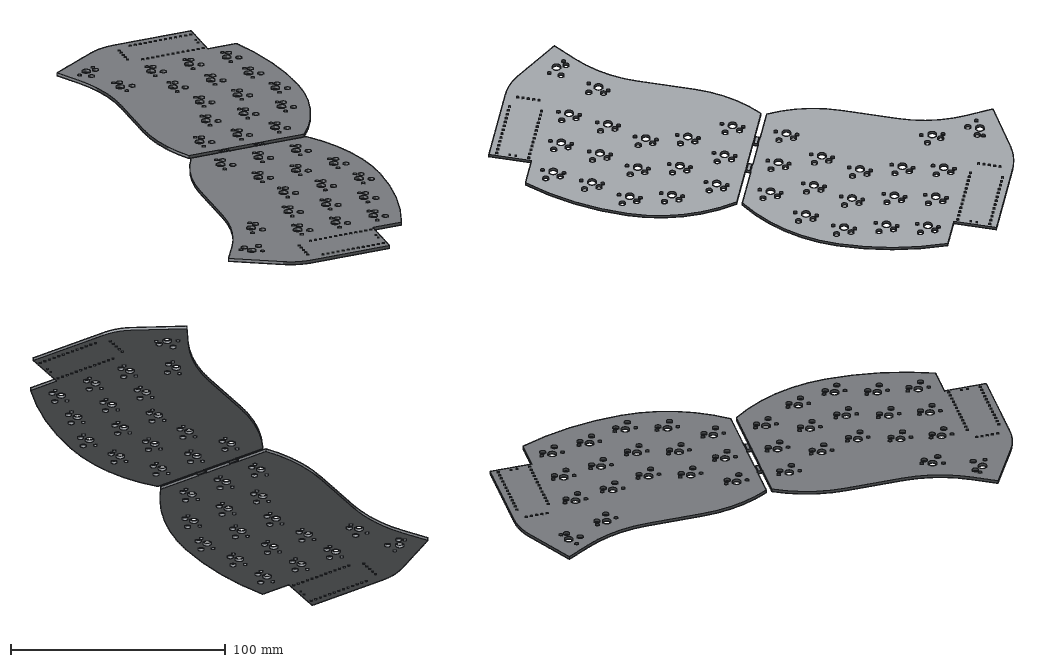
import cadquery as cq
import math


half_length = 120.5
thickness = 1.6
half_gap = 2.7
apex_x = 50.0
apex_y = 49.5
inner_top_y = 32.3
inner_bottom_y = -25.8
shoulder_x = 100.3
shoulder_y = 39.3
controller_top_y = 24.8
tip_x = 104.2
tip_y = -49.7
flat_y = -35.0
flat_inner_x = 34.7
tip_turn = 30.0
side_blend_radius = 26.5
flat_blend_radius = 62.7

key_pitch = 19.0
key_grid = key_pitch / 15
stem_diameter = 4.0
contact_diameter = 3.0
peg_diameter = 1.75
contact_steps = [(-3, 2), (2, 4)]
peg_steps = [(-4, 0), (4, 0)]
first_column_x = 12.8
column_middle_y = [3.4, 14.5, 19.3, 13.7, 10.5]
thumb_keys = [
    (-79.5, -28.0, 15),
    (78.9, -27.7, -15),
    (-100.5, -36.5, -60),
    (100.5, -36.5, 60),
]

pin_pitch = 2 * key_grid
controller_x = 109.5
pin_row_spacing = 6 * pin_pitch
pins_per_row = 13
first_pin_y = 23.2
pin_diameter = 1.09
header_y = -14.0
header_pins = 5
header_diameter = 1.09
reset_pins = 2
reset_spacing = 3.0
reset_diameter = 0.85

tab_centres_y = [9.2, -8.5]
tab_width = 4.3
bites_per_tab = 5
bite_diameter = 0.5
bite_x = 1.01
bite_pitch = 0.75


def arc_middle(level_point, end_point):
    """Middle of the arc that leaves level_point horizontally and ends at end_point."""
    run = end_point[0] - level_point[0]
    rise = end_point[1] - level_point[1]
    radius = (run**2 + rise**2) / (2 * rise)
    half_turn = math.atan2(rise, abs(run))
    return (
        level_point[0] + math.copysign(radius * math.sin(half_turn), run),
        level_point[1] + radius * (1 - math.cos(half_turn)),
    )


def point_towards(start, target, distance):
    """Point at the given distance from start on the line to target."""
    share = distance / math.dist(start, target)
    return (
        start[0] + share * (target[0] - start[0]),
        start[1] + share * (target[1] - start[1]),
    )


def board_half():
    """Right half of the board, outlined clockwise from the top of the gap edge."""
    gap_x = half_gap / 2
    inner_top = (gap_x, inner_top_y)
    apex = (apex_x, apex_y)
    shoulder = (shoulder_x, shoulder_y)
    tip = (tip_x, tip_y)
    flat_inner = (flat_inner_x, flat_y)
    inner_bottom = (gap_x, inner_bottom_y)

    turn_slope = math.tan(math.radians(tip_turn))
    side_corner = (half_length, tip_y + (half_length - tip_x) / turn_slope)
    flat_corner = (tip_x - (flat_y - tip_y) / turn_slope, flat_y)
    blend_ratio = math.tan(math.radians(tip_turn / 2))
    side_blend = side_blend_radius * blend_ratio
    flat_blend = flat_blend_radius * blend_ratio
    return (
        cq.Workplane("XY")
        .moveTo(*inner_top)
        .threePointArc(arc_middle(apex, inner_top), apex)
        .threePointArc(arc_middle(apex, shoulder), shoulder)
        .lineTo(shoulder_x, controller_top_y)
        .lineTo(half_length, controller_top_y)
        .lineTo(half_length, side_corner[1] + side_blend)
        .tangentArcPoint(point_towards(side_corner, tip, side_blend), relative=False)
        .lineTo(*tip)
        .lineTo(*point_towards(flat_corner, tip, flat_blend))
        .tangentArcPoint((flat_corner[0] - flat_blend, flat_y), relative=False)
        .lineTo(*flat_inner)
        .threePointArc(arc_middle(flat_inner, inner_bottom), inner_bottom)
        .close()
        .extrude(thickness)
    )


def holes(points, diameter):
    """Cylinders that pass through the full thickness."""
    return cq.Workplane("XY").pushPoints(points).circle(diameter / 2).extrude(thickness)


def key_points(keys, steps):
    """Places of the given grid steps around every key, turned with the key."""
    points = []
    for key_x, key_y, turn in keys:
        cosine = math.cos(math.radians(turn))
        sine = math.sin(math.radians(turn))
        for step_x, step_y in steps:
            x = key_grid * (step_x * cosine - step_y * sine)
            y = key_grid * (step_x * sine + step_y * cosine)
            points.append((key_x + x, key_y + y))
    return points


def row_offsets(count, pitch):
    """Offsets of equally spaced places about their middle."""
    return [(i - (count - 1) / 2) * pitch for i in range(count)]


right_half = board_half()
board = right_half.union(right_half.mirror("YZ"))
for tab_y in tab_centres_y:
    tab = cq.Workplane("XY").center(0, tab_y).rect(half_gap, tab_width).extrude(thickness)
    board = board.union(tab)

keys = list(thumb_keys)
for column, middle_y in enumerate(column_middle_y):
    for row_y in row_offsets(3, key_pitch):
        for side in (-1, 1):
            keys.append((side * (first_column_x + column * key_pitch), middle_y + row_y, 0))

pin_points = []
reset_points = []
header_points = []
for side in (-1, 1):
    centre_x = side * controller_x
    for row_x in row_offsets(2, pin_row_spacing):
        for pin in range(pins_per_row):
            pin_points.append((centre_x + row_x, first_pin_y - pin * pin_pitch))
    for offset in row_offsets(reset_pins, reset_spacing):
        reset_points.append((centre_x + offset, first_pin_y))
    for offset in row_offsets(header_pins, pin_pitch):
        header_points.append((centre_x + offset, header_y))

bite_points = []
for tab_y in tab_centres_y:
    for offset in row_offsets(bites_per_tab, bite_pitch):
        for side in (-1, 1):
            bite_points.append((side * bite_x, tab_y + offset))

result = (
    board.cut(holes(key_points(keys, [(0, 0)]), stem_diameter))
    .cut(holes(key_points(keys, contact_steps), contact_diameter))
    .cut(holes(key_points(keys, peg_steps), peg_diameter))
    .cut(holes(pin_points, pin_diameter))
    .cut(holes(reset_points, reset_diameter))
    .cut(holes(header_points, header_diameter))
    .cut(holes(bite_points, bite_diameter))
)